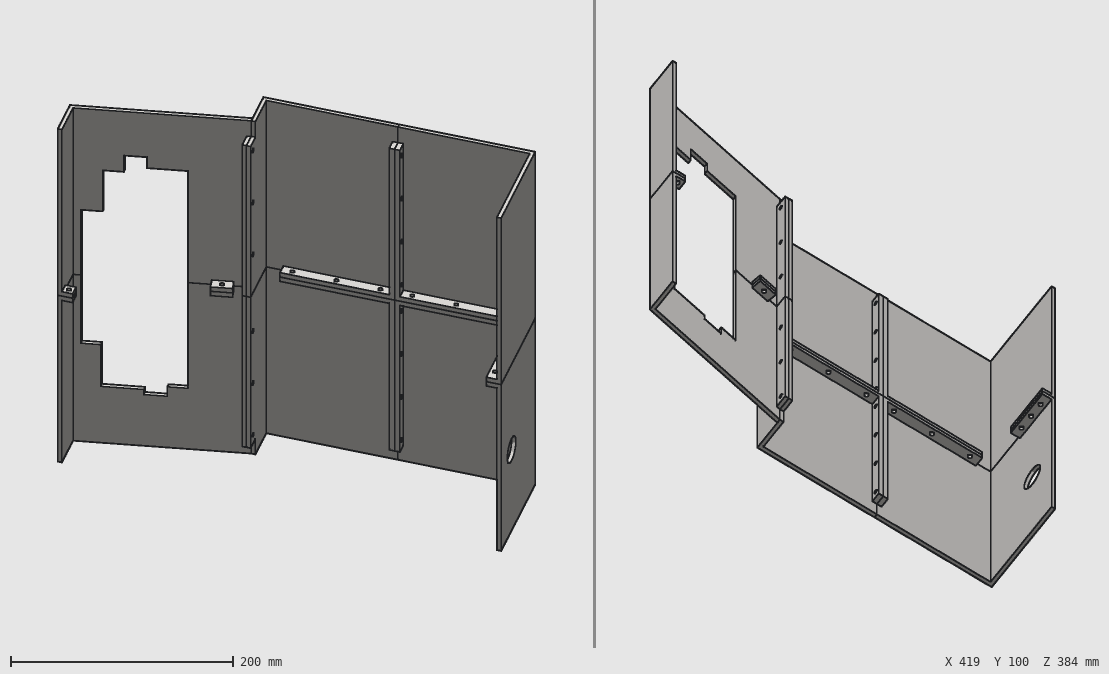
import cadquery as cq
import math


WIDTH = 419.0
DEPTH = 100.0
HEIGHT = 384.0
SHEET = 4.0
HALF_HEIGHT = HEIGHT / 2

STEP_X = 162.0
SEAM_X = (STEP_X + WIDTH) / 2
SLOPE_BACK = 32.0
SLOPE_FRONT = 64.0
SLOPE_ANGLE = math.degrees(math.atan2(SLOPE_FRONT - SLOPE_BACK, STEP_X))
SLOPE_DROP = SHEET / math.cos(math.radians(SLOPE_ANGLE))
STEP_EDGE = SLOPE_BACK + SLOPE_DROP

FLANGE_THICK = 5.0
FLANGE_REACH = 10.0
FLANGE_MID = FLANGE_REACH / 2
HOLE_DIA = 4.0
END_MARGIN = 10.0
SEAM_MARGIN = 15.0
BACK_FLANGE_INSET = 20.0
UPRIGHT_TOP = HALF_HEIGHT - 18.0
UPRIGHT_HOLES = 4
BACK_FLANGE_HOLES = 3

STEP_FLANGE_DEPTH = 50.0
STEP_HOLE_PITCH = 60.0
STEP_HOLES = 3

END_FLANGE_LENGTH = 50.0
END_HOLE_PITCH = 15.0
END_HOLES = 3

LUG_LENGTH = 20.0
LUG_X = 127.0

CABLE_HOLE_DIA = 25.0
CABLE_HOLE_DEPTH = 69.5
CABLE_HOLE_Z = -98.5
WINDOW = [
    (11.0, 75.0), (30.0, 75.0), (30.0, 122.5), (49.0, 122.5), (49.0, 141.0), (69.5, 141.0),
    (69.5, 128.5), (106.0, 128.5), (106.0, -122.0), (87.5, -122.0), (87.5, -132.8), (66.5, -132.8),
    (66.5, -127.0), (28.5, -127.0), (28.5, -78.7), (11.0, -78.7),
]


def block(x0, x1, depth0, depth1, z0, z1):
    """Box between two X, two depths behind the back face, and two Z values."""
    return cq.Workplane("XY").box(x1 - x0, depth1 - depth0, z1 - z0, centered=False).translate(
        (x0, -depth1, z0))


def hole_z(x, depth):
    """Screw hole through a flange that lies along the horizontal seam."""
    return cq.Workplane("XY").center(x, -depth).circle(HOLE_DIA / 2).extrude(FLANGE_THICK)


def hole_x(x, depth, z, length, diameter=HOLE_DIA):
    """Hole along X, starting at the given X."""
    return cq.Workplane("YZ", origin=(x, -depth, z)).circle(diameter / 2).extrude(length)


def spaced(first, last, count):
    """Evenly spaced positions from first to last."""
    return [first + (last - first) * i / (count - 1) for i in range(count)]


def seam_flanges(side):
    """L-shaped flange along both seams of a back sheet; side is -1 left or +1 right of the seam."""
    corner_x = STEP_X if side < 0 else WIDTH
    end_x = corner_x - side * BACK_FLANGE_INSET
    upright_x = SEAM_X + side * FLANGE_THICK
    front = SHEET + FLANGE_REACH
    hole_depth = SHEET + FLANGE_MID

    flanges = block(min(SEAM_X, end_x), max(SEAM_X, end_x), SHEET, front, 0, FLANGE_THICK)
    flanges = flanges.union(
        block(min(SEAM_X, upright_x), max(SEAM_X, upright_x), SHEET, front, 0, UPRIGHT_TOP))
    for x in spaced(SEAM_X + side * SEAM_MARGIN, end_x - side * END_MARGIN, BACK_FLANGE_HOLES):
        flanges = flanges.cut(hole_z(x, hole_depth))
    for z in spaced(SEAM_MARGIN, UPRIGHT_TOP - END_MARGIN, UPRIGHT_HOLES):
        flanges = flanges.cut(hole_x(min(SEAM_X, upright_x), hole_depth, z, FLANGE_THICK))
    return flanges


def step_flange(x0, depth0):
    """Upright flange at the step, one sheet thick, starting at x0 and depth0."""
    flange = block(x0, x0 + SHEET, depth0, STEP_FLANGE_DEPTH, 0, UPRIGHT_TOP)
    hole_depth = (STEP_EDGE + STEP_FLANGE_DEPTH) / 2
    for i in range(STEP_HOLES):
        z = UPRIGHT_TOP - END_MARGIN - i * STEP_HOLE_PITCH
        flange = flange.cut(hole_x(x0, hole_depth, z, SHEET))
    return flange


def slope_lug():
    """Single-hole lug square to the sloped sheet."""
    top_depth = SLOPE_FRONT + SLOPE_DROP - LUG_X * math.tan(math.radians(SLOPE_ANGLE))
    lug = block(0, LUG_LENGTH, 0, FLANGE_REACH, 0, FLANGE_THICK)
    lug = lug.cut(hole_z(LUG_LENGTH / 2, FLANGE_MID))
    return lug.rotate((0, 0, 0), (0, 0, 1), SLOPE_ANGLE).translate((LUG_X, -top_depth, 0))


def slope_panel():
    """Upper slope panel without its window: left wall, sloped sheet, lugs and step flange."""
    inner_front = SLOPE_FRONT + SLOPE_DROP - SHEET * math.tan(math.radians(SLOPE_ANGLE))
    profile = [
        (0, -DEPTH), (0, -SLOPE_FRONT), (STEP_X, -SLOPE_BACK),
        (STEP_X, -STEP_EDGE), (SHEET, -inner_front), (SHEET, -DEPTH),
    ]
    panel = cq.Workplane("XY").polyline(profile).close().extrude(HALF_HEIGHT)
    wall_lug = block(SHEET, SHEET + FLANGE_REACH, DEPTH - FLANGE_REACH, DEPTH, 0, FLANGE_THICK)
    wall_lug = wall_lug.cut(hole_z(SHEET + FLANGE_MID, DEPTH - FLANGE_MID))
    return panel.union(wall_lug).union(slope_lug()).union(step_flange(STEP_X - SHEET, STEP_EDGE))


def middle_panel():
    """Upper middle panel: step wall with its flange, and the left half of the back sheet."""
    panel = block(STEP_X, SEAM_X, 0, SHEET, 0, HALF_HEIGHT)
    panel = panel.union(block(STEP_X, STEP_X + SHEET, 0, STEP_EDGE, 0, HALF_HEIGHT))
    return panel.union(step_flange(STEP_X, STEP_EDGE)).union(seam_flanges(-1))


def end_panel():
    """Upper end panel: right half of the back sheet, right wall and its seam flange."""
    panel = block(SEAM_X, WIDTH, 0, SHEET, 0, HALF_HEIGHT)
    panel = panel.union(block(WIDTH - SHEET, WIDTH, 0, DEPTH, 0, HALF_HEIGHT))
    inner_x = WIDTH - SHEET
    flange = block(inner_x - FLANGE_REACH, inner_x, DEPTH - END_FLANGE_LENGTH, DEPTH, 0, FLANGE_THICK)
    for i in range(END_HOLES):
        flange = flange.cut(hole_z(inner_x - FLANGE_MID, DEPTH - END_MARGIN - i * END_HOLE_PITCH))
    return panel.union(flange).union(seam_flanges(1))


def window():
    """Stepped window through the sloped sheet, shared by both slope panels."""
    reach = SLOPE_FRONT + SLOPE_DROP
    return cq.Workplane("XZ").polyline(WINDOW).close().extrude(reach)


def lower(panel):
    """Mirror image of an upper panel, below the seam."""
    return panel.mirror("XY")


upper_slope = slope_panel().cut(window())
lower_slope = lower(slope_panel()).cut(window())
upper_middle = middle_panel()
lower_middle = lower(upper_middle)
upper_end = end_panel()
cable_hole = hole_x(WIDTH - SHEET, CABLE_HOLE_DEPTH, CABLE_HOLE_Z, SHEET, CABLE_HOLE_DIA)
lower_end = lower(upper_end).cut(cable_hole)

panels = [upper_slope, lower_slope, upper_middle, lower_middle, upper_end, lower_end]
result = cq.Compound.makeCompound([panel.solids().val() for panel in panels])